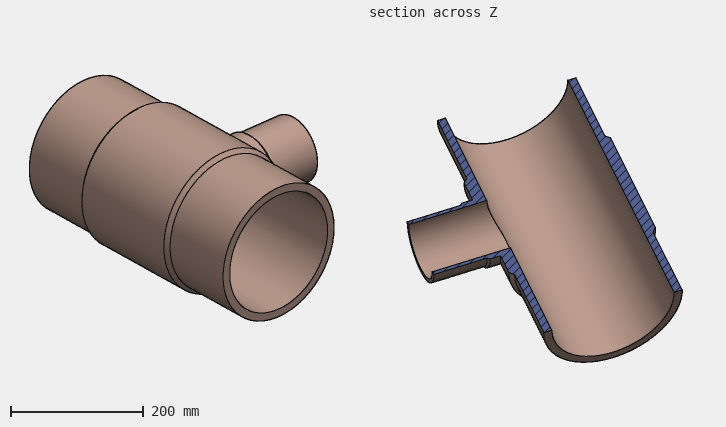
import cadquery as cq

PIPE_LENGTH = 439.0
PIPE_DIAMETER = 225.0
PIPE_BORE = 198.2

SLEEVE_LENGTH = 199.0
SLEEVE_DIAMETER = 238.4
SLEEVE_CHAMFER = (SLEEVE_DIAMETER - PIPE_DIAMETER) / 2

BRANCH_END = 226.0
BRANCH_DIAMETER = 110.0
BRANCH_BORE = 96.8

COLLAR_END = 139.5
COLLAR_DIAMETER = 116.6
COLLAR_CHAMFER = (COLLAR_DIAMETER - BRANCH_DIAMETER) / 2


def rod_along_x(diameter, length):
    """Solid cylinder along X, centred on the origin."""
    return cq.Workplane("YZ").circle(diameter / 2).extrude(length / 2, both=True)


def rod_along_y(diameter, end):
    """Solid cylinder from the main pipe axis out to Y = end."""
    return cq.Workplane("XZ").circle(diameter / 2).extrude(-end)


def run_body():
    """Main pipe with its sleeve, not yet bored; both sleeve ends taper down to the pipe."""
    pipe = rod_along_x(PIPE_DIAMETER, PIPE_LENGTH)
    sleeve = rod_along_x(SLEEVE_DIAMETER, SLEEVE_LENGTH).edges().chamfer(SLEEVE_CHAMFER)
    return pipe.union(sleeve)


def branch_body():
    """Branch pipe with its collar, not yet bored; the outer collar end tapers down to the pipe."""
    pipe = rod_along_y(BRANCH_DIAMETER, BRANCH_END)
    collar = rod_along_y(COLLAR_DIAMETER, COLLAR_END).faces(">Y").edges().chamfer(COLLAR_CHAMFER)
    return pipe.union(collar)


body = run_body().union(branch_body())
main_bore = rod_along_x(PIPE_BORE, PIPE_LENGTH)
branch_bore = rod_along_y(BRANCH_BORE, BRANCH_END)

result = body.cut(main_bore).cut(branch_bore)